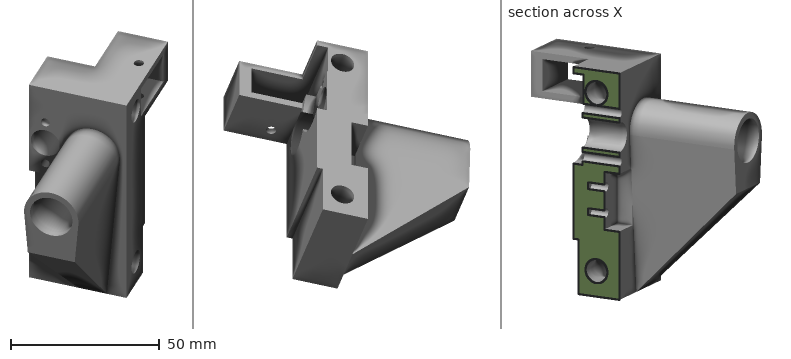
import cadquery as cq
import math


width = 35.0
height = 79.0
plate_depth = 17.8
step_depth = 2.0
step_height = 19.0

arm_length = 22.2
arm_width = 17.9
arm_height = 16.0
window_front = 14.0
window_rear_wall = 4.3
window_top_wall = 2.3
window_height = 11.2
arm_hole_diameter = 3.4
arm_hole_x = 30.2
arm_hole_y = 24.8

cross_hole_diameter = 8.2
cross_hole_y = plate_depth / 2
cross_hole_heights = (9.0, height - 8.0)

axis_z = 56.6
post_length = 40.0
post_x = 22.9
post_radius = 9.8
post_base_width = 10.2
bore_diameter = 15.2

mount_x = 5.9
mount_hole_diameter = 10.3
mount_screw_spacing = 16.8
mount_recess_radius = 11.2
mount_recess_depth = 3.5
screw_diameter = 3.1

pocket_width = 15.2
pocket_bottom = 23.8
pocket_height = 20.0
pocket_depth = 5.8
pocket_screw_x = 7.0
pocket_screw_heights = (29.3, 38.3)
pocket_screw_depth = 6.4


def block(x, y, z):
    """Box spanning the given (start, end) ranges along each axis."""
    size = (x[1] - x[0], y[1] - y[0], z[1] - z[0])
    return cq.Workplane("XY").box(*size, centered=False).translate((x[0], y[0], z[0]))


def rod_along_y(x, z, diameter, start, end):
    """Cylinder parallel to Y between two Y positions."""
    circle = cq.Workplane("XZ", origin=(x, start, z)).circle(diameter / 2)
    return circle.extrude(start - end)


def make_body():
    """Stepped plate joined to the windowed arm."""
    plate = block((0, width), (0, plate_depth), (0, height))
    step = block((0, width), (plate_depth - step_depth, plate_depth), (0, step_height))
    arm_end = plate_depth + arm_length
    arm = block((width - arm_width, width), (plate_depth, arm_end), (height - arm_height, height))
    window_top = height - window_top_wall
    window = block(
        (0, width),
        (window_front, arm_end - window_rear_wall),
        (window_top - window_height, window_top),
    )
    arm_hole = (
        cq.Workplane("XY", origin=(arm_hole_x, arm_hole_y, height - arm_height))
        .circle(arm_hole_diameter / 2)
        .extrude(arm_height)
    )
    return plate.cut(step).union(arm).cut(window).cut(arm_hole)


def cut_cross_holes(body):
    """Cut the two holes that run through the plate from side to side."""
    for z in cross_hole_heights:
        hole = cq.Workplane("YZ", origin=(0, cross_hole_y, z)).circle(cross_hole_diameter / 2)
        body = body.cut(hole.extrude(width))
    return body


def cut_motor_mount(body):
    """Cut the motor mount holes and the round recess behind them."""
    body = body.cut(rod_along_y(mount_x, axis_z, mount_hole_diameter, 0, plate_depth))
    for offset in (-mount_screw_spacing / 2, mount_screw_spacing / 2):
        body = body.cut(rod_along_y(mount_x, axis_z + offset, screw_diameter, 0, plate_depth))
    recess_floor = plate_depth - mount_recess_depth
    recess = rod_along_y(mount_x, axis_z, 2 * mount_recess_radius, recess_floor, plate_depth)
    return body.cut(recess)


def cut_front_pocket(body):
    """Cut the front pocket and the blind screw holes in its floor."""
    pocket_top = pocket_bottom + pocket_height
    body = body.cut(block((0, pocket_width), (0, pocket_depth), (pocket_bottom, pocket_top)))
    screw_end = pocket_depth + pocket_screw_depth
    for z in pocket_screw_heights:
        body = body.cut(rod_along_y(pocket_screw_x, z, screw_diameter, pocket_depth, screw_end))
    return body


def make_post():
    """Round-topped post whose flanks run tangent to the round, cut off at 45 degrees below."""
    half_base = post_base_width / 2
    corner_distance = math.hypot(axis_z, half_base)
    flank = math.asin(post_radius / corner_distance) - math.atan2(half_base, axis_z)
    tangent_x = post_radius * math.cos(flank)
    tangent_z = axis_z - post_radius * math.sin(flank)
    post = (
        cq.Workplane("XZ")
        .moveTo(post_x - half_base, 0)
        .lineTo(post_x - tangent_x, tangent_z)
        .threePointArc((post_x, axis_z + post_radius), (post_x + tangent_x, tangent_z))
        .lineTo(post_x + half_base, 0)
        .close()
        .extrude(post_length)
    )
    underside = (
        cq.Workplane("YZ")
        .polyline([(0, 0), (-post_length, post_length), (-post_length, 0)])
        .close()
        .extrude(width)
    )
    return post.cut(underside)


body = cut_front_pocket(cut_motor_mount(cut_cross_holes(make_body())))
bore = rod_along_y(post_x, axis_z, bore_diameter, -post_length, plate_depth)
result = body.union(make_post()).cut(bore)